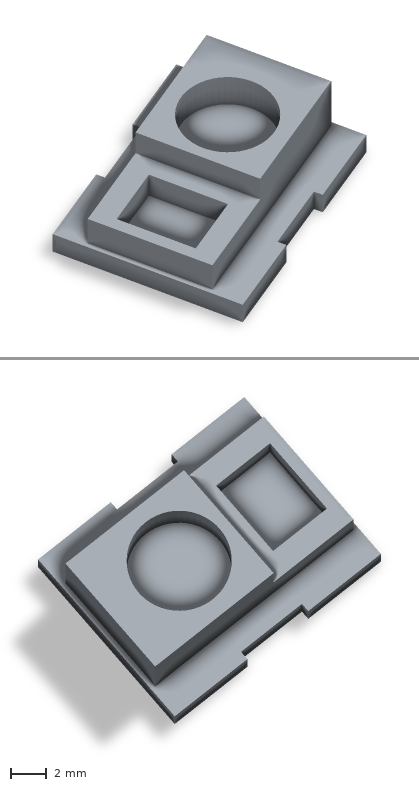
import cadquery as cq

base_width = 12.0
base_length = 15.0
base_height = 1.4
notch_depth = 0.55
notch_length = 4.42

housing_width = 7.88
housing_length = 14.43
total_height = 5.0
low_height = 3.33
step_y = -1.41

bore_diameter = 5.9
bore_y = 2.2
bore_depth = 2.18
pocket_width = 5.0
pocket_length = 3.92
pocket_y = -4.52
pocket_depth = 1.68


def make_base():
    """Plate with a shallow notch in the middle of each long edge."""
    plate = cq.Workplane("XY").box(base_width, base_length, base_height, centered=(True, True, False))
    notches = (
        cq.Workplane("XY")
        .pushPoints([(-base_width / 2, 0), (base_width / 2, 0)])
        .rect(2 * notch_depth, notch_length)
        .extrude(base_height)
    )
    return plate.cut(notches)


def make_housing():
    """Block with a low level at -Y and a high level at +Y."""
    half_length = housing_length / 2
    return (
        cq.Workplane("YZ")
        .moveTo(-half_length, base_height)
        .lineTo(half_length, base_height)
        .lineTo(half_length, total_height)
        .lineTo(step_y, total_height)
        .lineTo(step_y, low_height)
        .lineTo(-half_length, low_height)
        .close()
        .extrude(housing_width / 2, both=True)
    )


bore = (
    cq.Workplane("XY", origin=(0, bore_y, total_height))
    .circle(bore_diameter / 2)
    .extrude(-bore_depth)
)

pocket = (
    cq.Workplane("XY", origin=(0, pocket_y, low_height))
    .rect(pocket_width, pocket_length)
    .extrude(-pocket_depth)
)

result = make_base().union(make_housing()).cut(bore).cut(pocket)